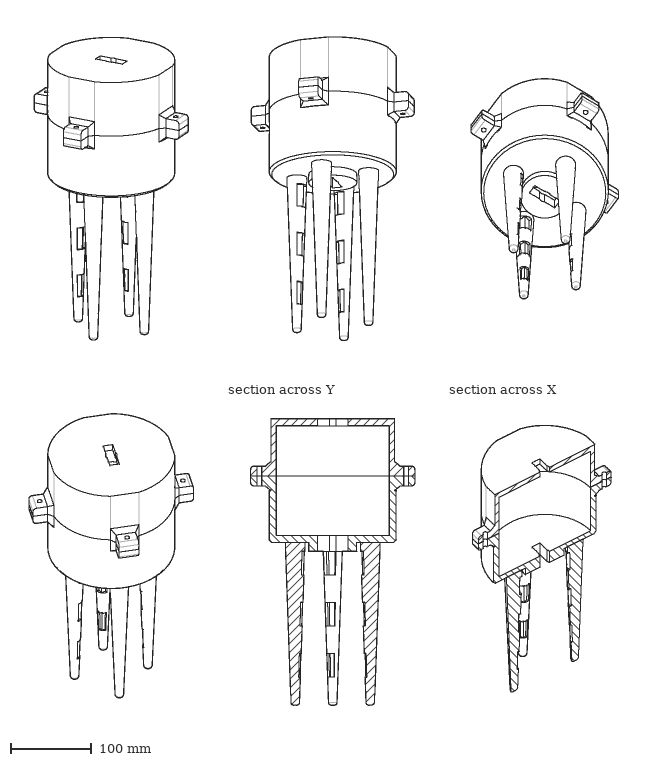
import cadquery as cq
import math

body_radius = 78.8
upper_height = 71.0
lower_height = 82.3
bottom_chamfer = 3.2
wall = 9.0
cavity_radius = body_radius - wall

lug_count = 4
lug_reach = 101.8
lug_width = 25.0
lug_fillet = 4.5
lug_hole_diameter = 5.5
lug_hole_offset = 91.0
flat_width = 36.2
flat_distance = math.sqrt(body_radius**2 - (flat_width / 2) ** 2)
flare_length = 6.7

slot_length = 37.5
slot_width = 12.0
slot_bulge_diameter = 14.2

boss_radius = 29.8
boss_height = 11.0

total_height = 354.8
finger_count = 4
finger_offset = 46.5
finger_top_radius = 12.5
finger_tip_radius = 5.3
finger_tip_fillet = 4.0
finger_length = total_height - upper_height - lower_height
finger_taper = (finger_top_radius - finger_tip_radius) / finger_length

recess_count = 3
recess_length = 29.0
recess_pitch = 63.0
core_corner_depth = 0.5
recess_start_angle = -71.0

cut_margin = 3.5


def turned(shape, count):
    """Copies of a shape spaced evenly about the Z axis."""
    return [shape.rotate((0, 0, 0), (0, 0, 1), i * 360 / count) for i in range(count)]


def side_flat():
    """Block that trims the +X side flat, from the lug base up to the lid."""
    depth = body_radius - flat_distance + cut_margin
    height = upper_height + flat_width / 2
    return (
        cq.Workplane("XY", origin=(flat_distance, 0, -flat_width / 2))
        .box(depth, 2 * flat_width, height, centered=(False, True, False))
    )


def lug():
    """Lug on the +X side: a square flare on the flat, then a rounded, drilled block."""
    flare = (
        cq.Workplane("YZ", origin=(flat_distance, 0, 0))
        .rect(flat_width, flat_width)
        .workplane(offset=flare_length)
        .rect(lug_width, lug_width)
        .loft()
    )
    block = (
        cq.Workplane("YZ", origin=(flat_distance, 0, 0))
        .rect(lug_width, lug_width)
        .extrude(lug_reach - flat_distance)
        .edges(">X and |Y")
        .fillet(lug_fillet)
    )
    hole = (
        cq.Workplane("XY", origin=(lug_hole_offset, 0, -lug_width))
        .circle(lug_hole_diameter / 2)
        .extrude(2 * lug_width)
    )
    return flare.union(block).cut(hole)


def slot():
    """Slot with its middle bulge, as tall as the whole part."""
    bar = cq.Workplane("XY").rect(slot_length, slot_width).extrude(total_height, both=True)
    bulge = cq.Workplane("XY").circle(slot_bulge_diameter / 2).extrude(total_height, both=True)
    return bar.union(bulge)


def housing():
    """Complete hollow housing before it is split."""
    shell = (
        cq.Workplane("XY", origin=(0, 0, -lower_height))
        .circle(body_radius)
        .extrude(lower_height + upper_height)
        .faces("<Z")
        .edges()
        .chamfer(bottom_chamfer)
    )
    for flat in turned(side_flat(), lug_count):
        shell = shell.cut(flat)
    for one_lug in turned(lug(), lug_count):
        shell = shell.union(one_lug)
    boss = (
        cq.Workplane("XY", origin=(0, 0, -lower_height))
        .circle(boss_radius)
        .extrude(-boss_height)
    )
    cavity = (
        cq.Workplane("XY", origin=(0, 0, wall - lower_height))
        .circle(cavity_radius)
        .extrude(lower_height + upper_height - 2 * wall)
    )
    return shell.union(boss).cut(cavity).cut(slot())


def half_space(direction):
    """Block that covers everything above (1) or below (-1) the split plane."""
    return cq.Workplane("XY").rect(4 * lug_reach, 4 * lug_reach).extrude(direction * total_height)


def finger_radius(depth):
    """Radius of the tapered finger at a depth below its top."""
    return finger_top_radius - finger_taper * depth


def core_side(depth):
    """Side of the square core at a depth below the finger top."""
    return (finger_radius(depth) - core_corner_depth) / math.sqrt(2)


def grip_recess(start):
    """Quarter block around the tapered square core, from a depth below the finger top."""
    end = start + recess_length
    block_side = finger_top_radius + cut_margin
    block = (
        cq.Workplane("XY", origin=(0, 0, -end))
        .box(block_side, block_side, recess_length, centered=False)
    )
    core = (
        cq.Workplane("XY", origin=(0, 0, -end))
        .rect(2 * core_side(end), 2 * core_side(end))
        .workplane(offset=recess_length)
        .rect(2 * core_side(start), 2 * core_side(start))
        .loft()
    )
    return block.cut(core).rotate((0, 0, 0), (0, 0, 1), recess_start_angle)


def finger():
    """Finger on the -X side, with its recesses toward the middle of the part."""
    profile = [
        (0, 0),
        (finger_top_radius, 0),
        (finger_tip_radius, -finger_length),
        (0, -finger_length),
    ]
    cone = (
        cq.Workplane("XZ")
        .polyline(profile)
        .close()
        .revolve(360, (0, 0, 0), (0, 1, 0))
        .faces("<Z")
        .edges()
        .fillet(finger_tip_fillet)
    )
    for i in range(recess_count):
        cone = cone.cut(grip_recess(boss_height + i * recess_pitch))
    return cone.translate((-finger_offset, 0, -lower_height))


whole_housing = housing()
upper_housing = whole_housing.intersect(half_space(1))
lower_housing = whole_housing.intersect(half_space(-1))
fingers = turned(finger(), finger_count)

result = cq.Compound.makeCompound(
    [
        upper_housing.solids().val(),
        lower_housing.solids().val(),
        *[one_finger.solids().val() for one_finger in fingers],
    ]
)